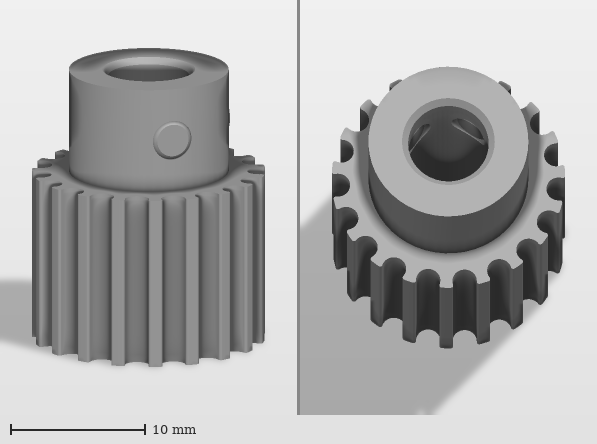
import cadquery as cq
import math

tooth_count = 19
tip_diameter = 17.39
belt_height = 12.8
groove_radius = 0.9
groove_bottom_radius = 7.33
tip_fillet = 0.19

total_height = 20.6
hub_diameter = 11.9
bore_diameter = 6.0
bore_chamfer = 0.45

screw_diameter = 3.0
screw_height = 16.65
screw_chamfer = 0.29
screw_angles = (0, 90)


def turn(body, angle):
    """Rotate a body about the part axis."""
    return body.rotate((0, 0, 0), (0, 0, 1), angle)


def belt_section():
    """Disc with round-bottomed belt grooves and rounded tooth tips."""
    tip_radius = tip_diameter / 2
    groove_centre = groove_bottom_radius + groove_radius
    groove = cq.Workplane("XY").center(0, groove_centre).circle(groove_radius).extrude(belt_height)

    body = cq.Workplane("XY").circle(tip_radius).extrude(belt_height)
    for index in range(tooth_count):
        body = body.cut(turn(groove, index * 360 / tooth_count))

    def on_tip_circle(edge):
        centre = edge.Center()
        return math.isclose(math.hypot(centre.x, centre.y), tip_radius, rel_tol=1e-4)

    return body.edges("|Z").filter(on_tip_circle).fillet(tip_fillet)


def bore_cutter():
    """Through bore, widened by a 45 degree chamfer at the hub end."""
    bore_radius = bore_diameter / 2
    mouth_radius = bore_radius + bore_chamfer
    half_section = [
        (0, 0),
        (bore_radius, 0),
        (bore_radius, total_height - bore_chamfer),
        (mouth_radius, total_height),
        (0, total_height),
    ]
    return cq.Workplane("XZ").polyline(half_section).close().revolve(360, (0, 0, 0), (0, 1, 0))


def radial_cylinder(start, end):
    """Cylinder of the screw diameter along +X between two distances from the axis."""
    base = cq.Workplane("YZ", origin=(start, 0, screw_height))
    return base.circle(screw_diameter / 2).extrude(end - start)


hub_radius = hub_diameter / 2
hub = cq.Workplane("XY").circle(hub_radius).extrude(total_height)
result = belt_section().union(hub).cut(bore_cutter())

screw_hole = radial_cylinder(0, hub_radius)
screw = radial_cylinder(bore_diameter / 2, hub_radius).faces("<X or >X").chamfer(screw_chamfer)
for angle in screw_angles:
    result = result.cut(turn(screw_hole, angle)).union(turn(screw, angle))